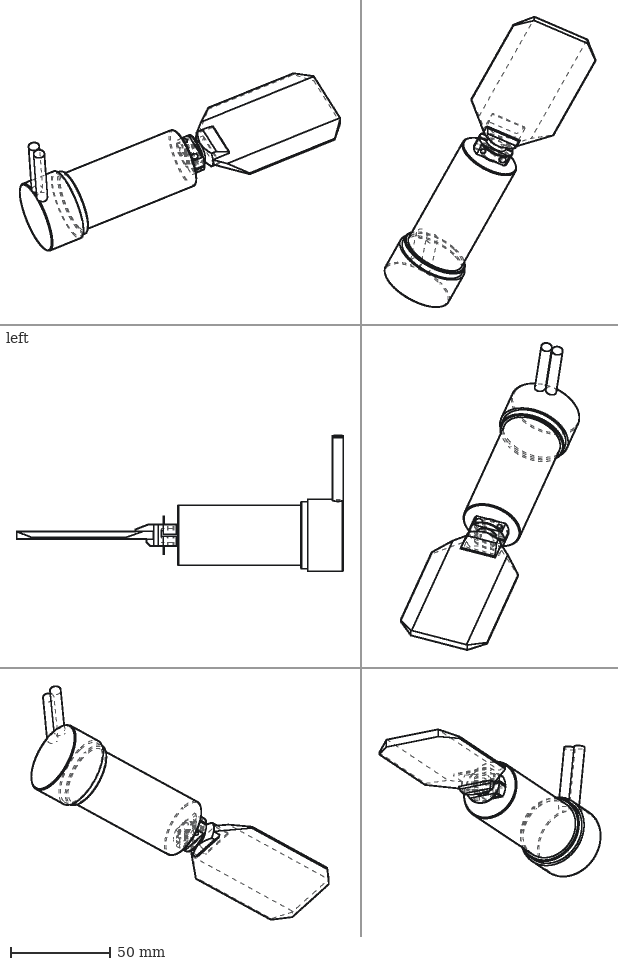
import cadquery as cq
import math

TOTAL_LENGTH = 164.82

CAP_DIAMETER = 36.5
CAP_LENGTH = 18.0
CAP_EDGE_CHAMFER = 0.5
LIP_DIAMETER = 34.0
LIP_LENGTH = 3.5
LIP_EDGE_CHAMFER = 0.5

CABLE_DIAMETER = 5.5
CABLE_SPACING = 5.8
CABLE_TILT = 6.0
CABLE_LENGTH = 50.02
CABLE_PAIR_OFFSET = 0.9
CABLE_Y = CABLE_DIAMETER / 2

MOTOR_DIAMETER = 30.48
MOTOR_REAR_Y = CAP_LENGTH + LIP_LENGTH
MOTOR_FRONT_Y = 83.6
MOTOR_EDGE_CHAMFER = 0.5
SHAFT_DIAMETER = 7.0

HUB_DIAMETER = 11.0
HUB_GAP = 0.2
HUB_REAR_Y = MOTOR_FRONT_Y + HUB_GAP
HUB_EDGE_CHAMFER = 0.3
COLLAR_DIAMETER = 19.0
COLLAR_GAP = 0.8
COLLAR_REAR_Y = MOTOR_FRONT_Y + COLLAR_GAP
COLLAR_LENGTH = 6.5
COLLAR_FRONT_Y = COLLAR_REAR_Y + COLLAR_LENGTH
COLLAR_DISK_THICKNESS = 0.5
COLLAR_FLAT_Z = HUB_DIAMETER / 2
SLIT_WIDTH = 1.0
RELIEF_LENGTH = 1.0
RELIEF_TOP_Z = 2.4
SHAFT_TIP_Y = COLLAR_FRONT_Y + RELIEF_LENGTH

SCREW_OFFSET_X = 5.5
SCREW_Y = 87.25
SCREW_TAP_DIAMETER = 2.5
SCREW_CLEARANCE_DIAMETER = 3.3

HEAD_DIAMETER = COLLAR_DIAMETER
HEAD_REAR_Y = 95.6
NECK_CONE_ANGLE = 30.0
HEAD_FLAT_Z = HUB_DIAMETER / 2
RAMP_FRONT_Y = 104.9
RAMP_REAR_Y = 98.4
RAMP_FRONT_Z = 3.0
KEEL_FRONT_Y = 99.4
KEEL_CHAMFER = 2.0

BLADE_WIDTH = 46.2
BLADE_THICKNESS = 4.0
BLADE_FLAT_WIDTH = 29.3
BLADE_EDGE_THICKNESS = 1.0
BLADE_TIP_WIDTH = 30.0
BLADE_TIP_TAPER = 7.3
BLADE_ROOT_WIDTH = 19.2
BLADE_ROOT_Y = 95.9
BLADE_ROOT_TAPER = (BLADE_WIDTH - BLADE_ROOT_WIDTH) / 2


def cylinder_y(diameter, start_y, end_y):
    """Cylinder on the Y axis between two Y positions."""
    plane = cq.Workplane("XZ", origin=(0, start_y, 0))
    return plane.circle(diameter / 2).extrude(start_y - end_y)


def box_between(x_range, y_range, z_range):
    """Box given by its lower and upper limit on each axis."""
    size = [high - low for low, high in (x_range, y_range, z_range)]
    corner = (x_range[0], y_range[0], z_range[0])
    return cq.Workplane("XY").box(*size, centered=False).translate(corner)


def make_cable(side):
    """Tilted cable rooted inside the cap; side is -1 or 1 within the pair."""
    tilt = math.radians(CABLE_TILT)
    along = cq.Vector(-math.sin(tilt), 0, math.cos(tilt))
    across = cq.Vector(math.cos(tilt), 0, math.sin(tilt))
    shift = CABLE_PAIR_OFFSET + side * CABLE_SPACING / 2
    start = across * shift + cq.Vector(0, CABLE_Y, 0)
    return cq.Workplane(cq.Solid.makeCylinder(CABLE_DIAMETER / 2, CABLE_LENGTH, start, along))


def make_end_cap():
    cap = cylinder_y(CAP_DIAMETER, 0, CAP_LENGTH).faces("<Y").chamfer(CAP_EDGE_CHAMFER)
    lip = cylinder_y(LIP_DIAMETER, CAP_LENGTH, MOTOR_REAR_Y).faces(">Y").chamfer(LIP_EDGE_CHAMFER)
    cap = cap.union(lip)
    for side in (-1, 1):
        cap = cap.union(make_cable(side))
    return cap


def make_motor():
    can = cylinder_y(MOTOR_DIAMETER, MOTOR_REAR_Y, MOTOR_FRONT_Y)
    can = can.faces(">Y").chamfer(MOTOR_EDGE_CHAMFER)
    return can.union(cylinder_y(SHAFT_DIAMETER, MOTOR_FRONT_Y, SHAFT_TIP_Y))


def make_collar():
    """Round collar with flats above and below, leaving a thin full disk at its front."""
    flats_front_y = COLLAR_FRONT_Y - COLLAR_DISK_THICKNESS
    half = COLLAR_DIAMETER / 2
    disk = cylinder_y(COLLAR_DIAMETER, flats_front_y, COLLAR_FRONT_Y)
    clamp = cylinder_y(COLLAR_DIAMETER, COLLAR_REAR_Y, flats_front_y).intersect(
        box_between((-half, half), (COLLAR_REAR_Y, flats_front_y), (-COLLAR_FLAT_Z, COLLAR_FLAT_Z))
    )
    return clamp.union(disk)


def make_head():
    """Turned head with a conical neck, trimmed to a side profile with a ramp and a keel."""
    hub_radius = HUB_DIAMETER / 2
    head_radius = HEAD_DIAMETER / 2
    neck_front_y = HEAD_REAR_Y - (head_radius - hub_radius) * math.tan(math.radians(NECK_CONE_ANGLE))
    rear_rim_radius = hub_radius - HUB_EDGE_CHAMFER
    turned = (
        cq.Workplane("XY")
        .moveTo(0, HUB_REAR_Y)
        .lineTo(rear_rim_radius, HUB_REAR_Y)
        .lineTo(hub_radius, HUB_REAR_Y + HUB_EDGE_CHAMFER)
        .lineTo(hub_radius, neck_front_y)
        .lineTo(head_radius, HEAD_REAR_Y)
        .lineTo(head_radius, RAMP_FRONT_Y)
        .lineTo(0, RAMP_FRONT_Y)
        .close()
        .revolve(360, (0, 0), (0, 1))
    )
    blade_bottom_z = -BLADE_THICKNESS / 2
    side_profile = (
        cq.Workplane("YZ")
        .polyline([
            (HUB_REAR_Y, -HEAD_FLAT_Z),
            (KEEL_FRONT_Y - KEEL_CHAMFER, -HEAD_FLAT_Z),
            (KEEL_FRONT_Y, KEEL_CHAMFER - HEAD_FLAT_Z),
            (KEEL_FRONT_Y, blade_bottom_z),
            (RAMP_FRONT_Y, blade_bottom_z),
            (RAMP_FRONT_Y, RAMP_FRONT_Z),
            (RAMP_REAR_Y, HEAD_FLAT_Z),
            (HUB_REAR_Y, HEAD_FLAT_Z),
        ])
        .close()
        .extrude(head_radius, both=True)
    )
    return turned.intersect(side_profile)


def make_blade():
    """Flat blade with bevelled long sides and tapered ends."""
    half_width = BLADE_WIDTH / 2
    half_flat = BLADE_FLAT_WIDTH / 2
    half_tip = BLADE_TIP_WIDTH / 2
    half_root = BLADE_ROOT_WIDTH / 2
    bottom_z = -BLADE_THICKNESS / 2
    edge_z = bottom_z + BLADE_EDGE_THICKNESS
    top_z = BLADE_THICKNESS / 2
    section = (
        cq.Workplane("XZ", origin=(0, BLADE_ROOT_Y, 0))
        .polyline([
            (-half_width, bottom_z),
            (half_width, bottom_z),
            (half_width, edge_z),
            (half_flat, top_z),
            (-half_flat, top_z),
            (-half_width, edge_z),
        ])
        .close()
        .extrude(BLADE_ROOT_Y - TOTAL_LENGTH)
    )
    tip_shoulder_y = TOTAL_LENGTH - BLADE_TIP_TAPER
    root_shoulder_y = BLADE_ROOT_Y + BLADE_ROOT_TAPER
    outline = (
        cq.Workplane("XY", origin=(0, 0, bottom_z))
        .polyline([
            (-half_root, BLADE_ROOT_Y),
            (half_root, BLADE_ROOT_Y),
            (half_width, root_shoulder_y),
            (half_width, tip_shoulder_y),
            (half_tip, TOTAL_LENGTH),
            (-half_tip, TOTAL_LENGTH),
            (-half_width, tip_shoulder_y),
            (-half_width, root_shoulder_y),
        ])
        .close()
        .extrude(BLADE_THICKNESS)
    )
    return section.intersect(outline)


def make_clamp_slit():
    """Lengthwise slit that splits the hub, with a taller relief at its front end."""
    half_x = COLLAR_DIAMETER / 2
    x_range = (-half_x, half_x)
    slit_bottom_z = -SLIT_WIDTH / 2
    slit = box_between(x_range, (MOTOR_FRONT_Y, SHAFT_TIP_Y), (slit_bottom_z, SLIT_WIDTH / 2))
    relief = box_between(x_range, (COLLAR_FRONT_Y, SHAFT_TIP_Y), (slit_bottom_z, RELIEF_TOP_Z))
    return slit.union(relief)


def make_screw_hole(side):
    """Vertical screw hole: clearance on the head side of the slit, tap size beyond it."""
    mid_plane = cq.Workplane("XY").center(side * SCREW_OFFSET_X, SCREW_Y)
    tap = mid_plane.circle(SCREW_TAP_DIAMETER / 2).extrude(-side * COLLAR_FLAT_Z)
    clearance = mid_plane.circle(SCREW_CLEARANCE_DIAMETER / 2).extrude(side * COLLAR_FLAT_Z)
    return tap.union(clearance)


def make_paddle():
    paddle = make_head().union(make_collar()).union(make_blade())
    paddle = paddle.cut(cylinder_y(SHAFT_DIAMETER, MOTOR_FRONT_Y, SHAFT_TIP_Y))
    paddle = paddle.cut(make_clamp_slit())
    for side in (-1, 1):
        paddle = paddle.cut(make_screw_hole(side))
    return paddle


end_cap = make_end_cap()
motor = make_motor()
paddle = make_paddle()

result = cq.Compound.makeCompound([body.solids().val() for body in (end_cap, motor, paddle)])